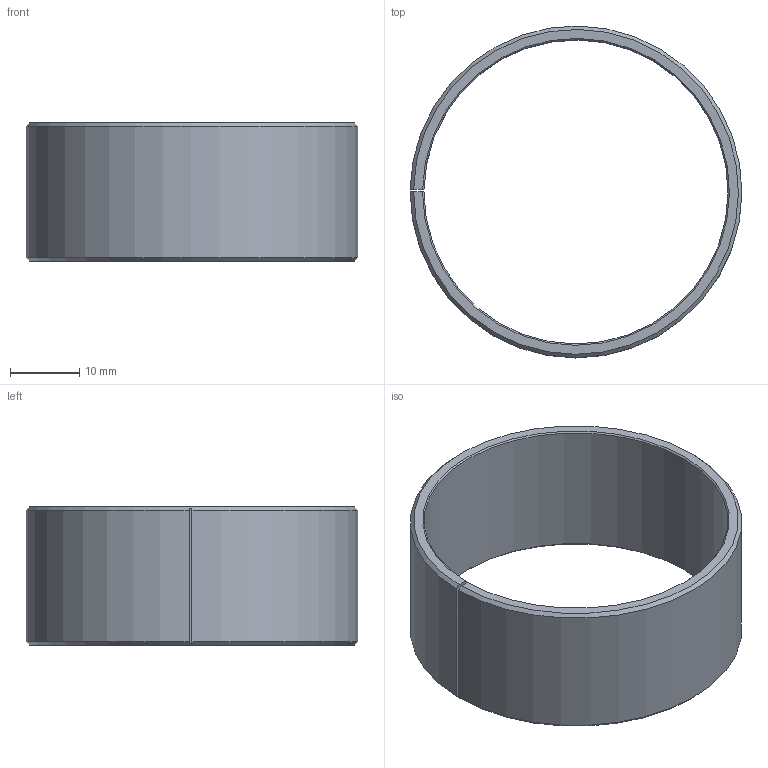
import cadquery as cq

outer_diameter = 48.0
wall_thickness = 2.0
length = 20.0
gap_angle = 1.0

outer_chamfer = 0.5
inner_chamfer = 0.2

outer_radius = outer_diameter / 2
inner_radius = outer_radius - wall_thickness
half_length = length / 2


def make_wall_section():
    """Chamfered wall section in the XZ plane, on the -X side of the axis."""
    return (
        cq.Workplane("XZ")
        .moveTo(-inner_radius - inner_chamfer, -half_length)
        .lineTo(-outer_radius + outer_chamfer, -half_length)
        .lineTo(-outer_radius, -half_length + outer_chamfer)
        .lineTo(-outer_radius, half_length - outer_chamfer)
        .lineTo(-outer_radius + outer_chamfer, half_length)
        .lineTo(-inner_radius - inner_chamfer, half_length)
        .lineTo(-inner_radius, half_length - inner_chamfer)
        .lineTo(-inner_radius, -half_length + inner_chamfer)
        .close()
    )


def make_split_sleeve():
    """Revolve the wall section counter-clockwise about Z, stopping short of a full turn."""
    sweep_angle = 360 - gap_angle
    return make_wall_section().revolve(sweep_angle, (0, 0, 0), (0, 1, 0))


result = make_split_sleeve()